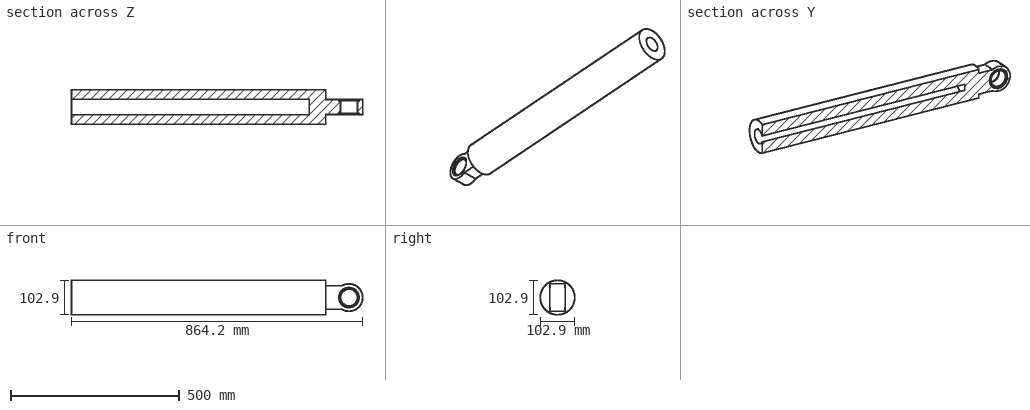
import cadquery as cq

overall_length = 864.2
barrel_diameter = 102.86
barrel_length = 755.0

bore_diameter = 45.0
closed_end_thickness = 50.0
bore_depth = barrel_length - closed_end_thickness

eye_diameter = 82.0
eye_width = 45.0
shank_height = 70.0
pin_hole_diameter = 50.0
recess_diameter = 60.0
recess_depth = 4.0

eye_center_x = overall_length - eye_diameter / 2


def cylinder_along_x(diameter, start_x, length):
    return cq.Workplane("YZ", origin=(start_x, 0, 0)).circle(diameter / 2).extrude(length)


def cylinder_along_y(diameter, start_y, length):
    return (
        cq.Workplane("XZ", origin=(eye_center_x, start_y, 0))
        .circle(diameter / 2)
        .extrude(-length)
    )


def make_barrel():
    barrel = cylinder_along_x(barrel_diameter, 0, barrel_length)
    return barrel.cut(cylinder_along_x(bore_diameter, 0, bore_depth))


def make_eye():
    shank_length = eye_center_x - barrel_length
    shank = cq.Workplane("XY", origin=(barrel_length, 0, 0)).box(
        shank_length, eye_width, shank_height, centered=(False, True, True)
    )
    front_y = -eye_width / 2
    eye = shank.union(cylinder_along_y(eye_diameter, front_y, eye_width))
    eye = eye.cut(cylinder_along_y(pin_hole_diameter, front_y, eye_width))
    for recess_start_y in (front_y, -front_y - recess_depth):
        eye = eye.cut(cylinder_along_y(recess_diameter, recess_start_y, recess_depth))
    return eye


result = make_barrel().union(make_eye())